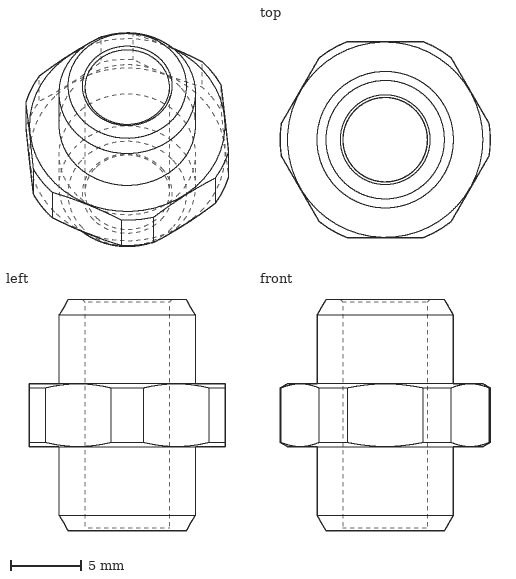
import cadquery as cq
import math

total_length = 16.5
hex_height = 4.5
across_flats = 14.0
corner_diameter = 15.0
hex_face_diameter = 13.93
edge_angle = math.radians(30)

tube_diameter = 9.74
tube_end_diameter = 8.45

bore_diameter = 6.0
bore_mouth_diameter = 6.4

half_length = total_length / 2
half_hex = hex_height / 2


def revolve_mirrored(upper_profile):
    """Revolve about Z an (r, z) profile, given from mid-height up, with its mirror image."""
    lower_profile = [(r, -z) for r, z in reversed(upper_profile)]
    outline = [(0, -upper_profile[-1][1])] + lower_profile + upper_profile + [(0, upper_profile[-1][1])]
    return cq.Workplane("XZ").polyline(outline).close().revolve(360, (0, 0, 0), (0, 1, 0))


def make_hexagon():
    corner_radius = corner_diameter / 2
    face_radius = hex_face_diameter / 2
    chamfer_height = (corner_radius - face_radius) * math.tan(edge_angle)
    prism = (
        cq.Workplane("XY")
        .polygon(6, across_flats / math.cos(math.pi / 6))
        .extrude(half_hex, both=True)
    )
    envelope = revolve_mirrored([
        (corner_radius, half_hex - chamfer_height),
        (face_radius, half_hex),
    ])
    return prism.intersect(envelope)


def make_tube():
    tube_radius = tube_diameter / 2
    end_radius = tube_end_diameter / 2
    chamfer_height = (tube_radius - end_radius) / math.tan(edge_angle)
    return revolve_mirrored([
        (tube_radius, half_length - chamfer_height),
        (end_radius, half_length),
    ])


def make_bore():
    bore_radius = bore_diameter / 2
    mouth_radius = bore_mouth_diameter / 2
    mouth_depth = mouth_radius - bore_radius
    return revolve_mirrored([
        (bore_radius, half_length - mouth_depth),
        (mouth_radius, half_length),
    ])


result = make_hexagon().union(make_tube()).cut(make_bore())